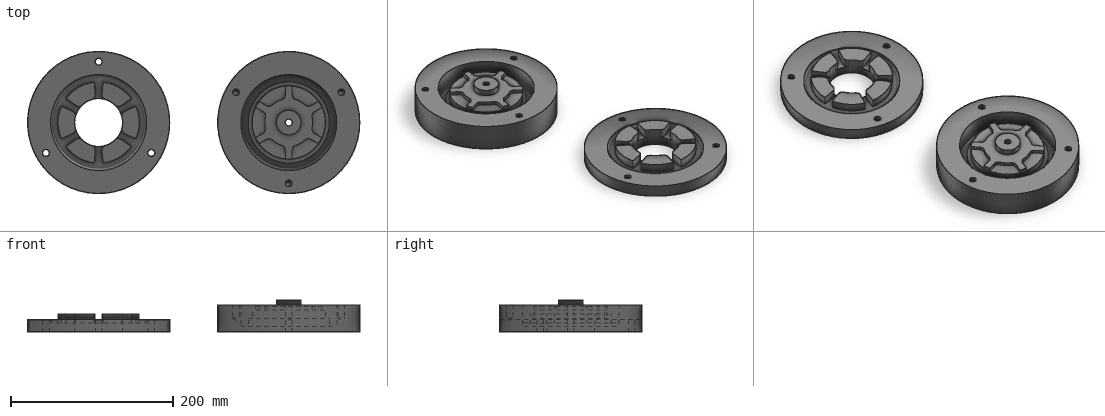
import cadquery as cq
import math

FLANGE_DIA = 175.0
OVERALL_LENGTH = 409.0
CENTRE_OFFSET = (OVERALL_LENGTH - FLANGE_DIA) / 2

BORE_DIA = 8.0
BOLT_CIRCLE_RADIUS = 75.0
BOLT_COUNT = 3
CAVITY_DIA = 118.0
CAVITY_FILLET = 3.0
JAW_COUNT = 6
JAW_INNER_DIA = 59.0
JAW_OUTER_DIA = 100.0
JAW_CORNER_RADIUS = 6.0

PLATE_HEIGHT = 15.0
PLATE_RECESS_DEPTH = 4.0
PLATE_FLOOR = PLATE_HEIGHT - PLATE_RECESS_DEPTH
JAW_TOP = 22.0
JAW_GAP = 11.0
JAW_GAP_TAPER = 5.0

HOUSING_HEIGHT = 33.0
HOUSING_FLOOR = 6.5
LEDGE_HEIGHT = 10.0
DISC_DIA = 90.0
DISC_TOP = 26.5
SPIDER_TOP = 31.0
ARM_WIDTH = 8.5
HUB_DIA = 30.3
HUB_TOP = 39.0
BOLT_HOLE_DEPTH = 16.5
DRILL_POINT_ANGLE = 118.0


def cylinder(diameter, bottom, top):
    """Vertical cylinder on the Z axis between two heights."""
    return cq.Workplane("XY").workplane(offset=bottom).circle(diameter / 2).extrude(top - bottom)


def cavity(floor, top):
    """Round cavity whose floor edge is filleted."""
    return cylinder(CAVITY_DIA, floor, top).faces("<Z").edges().fillet(CAVITY_FILLET)


def jaws(gap, bottom, top, taper=0.0):
    """Ring of jaws split by radial gaps, with the inner corners rounded.

    The gap is measured at the outer diameter and narrows toward the axis by the taper angle per side.
    """
    ring = cylinder(JAW_OUTER_DIA, bottom, top).cut(cylinder(JAW_INNER_DIA, bottom, top))
    reach = JAW_OUTER_DIA / 2
    narrowing = reach * math.tan(math.radians(taper))
    half_gap = gap / 2
    for index in range(JAW_COUNT):
        slot = (
            cq.Workplane("XY")
            .workplane(offset=bottom)
            .transformed(rotate=(0, 0, 90 + index * 360 / JAW_COUNT))
            .polyline([
                (0, half_gap - narrowing),
                (2 * reach, half_gap + narrowing),
                (2 * reach, -half_gap - narrowing),
                (0, narrowing - half_gap),
            ])
            .close()
            .extrude(top - bottom)
        )
        ring = ring.cut(slot)
    mid_radius = (JAW_OUTER_DIA + JAW_INNER_DIA) / 4
    inner_corners = [
        edge for edge in ring.edges("|Z").vals()
        if math.hypot(edge.Center().x, edge.Center().y) < mid_radius
    ]
    return ring.newObject(inner_corners).fillet(JAW_CORNER_RADIUS)


def bolt_points(first_angle):
    """Evenly spaced points on the bolt circle."""
    angles = [math.radians(first_angle + index * 360 / BOLT_COUNT) for index in range(BOLT_COUNT)]
    return [(BOLT_CIRCLE_RADIUS * math.cos(a), BOLT_CIRCLE_RADIUS * math.sin(a)) for a in angles]


def blind_bolt_hole():
    """Drilled hole with a conical tip, entering from the top of the housing."""
    radius = BORE_DIA / 2
    tip_depth = radius / math.tan(math.radians(DRILL_POINT_ANGLE / 2))
    shoulder = HOUSING_HEIGHT - BOLT_HOLE_DEPTH
    return (
        cq.Workplane("XZ")
        .polyline([
            (0, HOUSING_HEIGHT),
            (radius, HOUSING_HEIGHT),
            (radius, shoulder),
            (0, shoulder - tip_depth),
        ])
        .close()
        .revolve(360, (0, 0, 0), (0, 1, 0))
    )


def make_jaw_plate():
    """Flange with a shallow recess, a central opening and a ring of raised jaws."""
    plate = cylinder(FLANGE_DIA, 0, PLATE_HEIGHT).cut(cavity(PLATE_FLOOR, PLATE_HEIGHT))
    jaw_blank = cylinder(JAW_OUTER_DIA, PLATE_FLOOR, JAW_TOP)
    gaps = jaw_blank.cut(jaws(JAW_GAP, PLATE_FLOOR, JAW_TOP, JAW_GAP_TAPER))
    plate = plate.union(jaw_blank).cut(cylinder(JAW_INNER_DIA, 0, JAW_TOP)).cut(gaps)
    bolt_holes = cq.Workplane("XY").pushPoints(bolt_points(90)).circle(BORE_DIA / 2).extrude(PLATE_HEIGHT)
    return plate.cut(bolt_holes).translate((-CENTRE_OFFSET, 0, 0))


def make_housing():
    """Deep cup holding a stepped disc with a six-armed spider and a bored hub."""
    body = cylinder(FLANGE_DIA, 0, HOUSING_HEIGHT).cut(cavity(HOUSING_FLOOR, HOUSING_HEIGHT))
    body = body.union(cylinder(JAW_OUTER_DIA, HOUSING_FLOOR, HOUSING_FLOOR + LEDGE_HEIGHT))
    body = body.union(cylinder(DISC_DIA, HOUSING_FLOOR, SPIDER_TOP))
    body = body.cut(jaws(ARM_WIDTH, DISC_TOP, SPIDER_TOP))
    body = body.union(cylinder(HUB_DIA, SPIDER_TOP, HUB_TOP))
    body = body.cut(cylinder(BORE_DIA, 0, HUB_TOP))
    for x, y in bolt_points(-90):
        body = body.cut(blind_bolt_hole().translate((x, y, 0)))
    return body.translate((CENTRE_OFFSET, 0, 0))


jaw_plate = make_jaw_plate()
housing = make_housing()
result = cq.Compound.makeCompound([jaw_plate.val(), housing.val()])